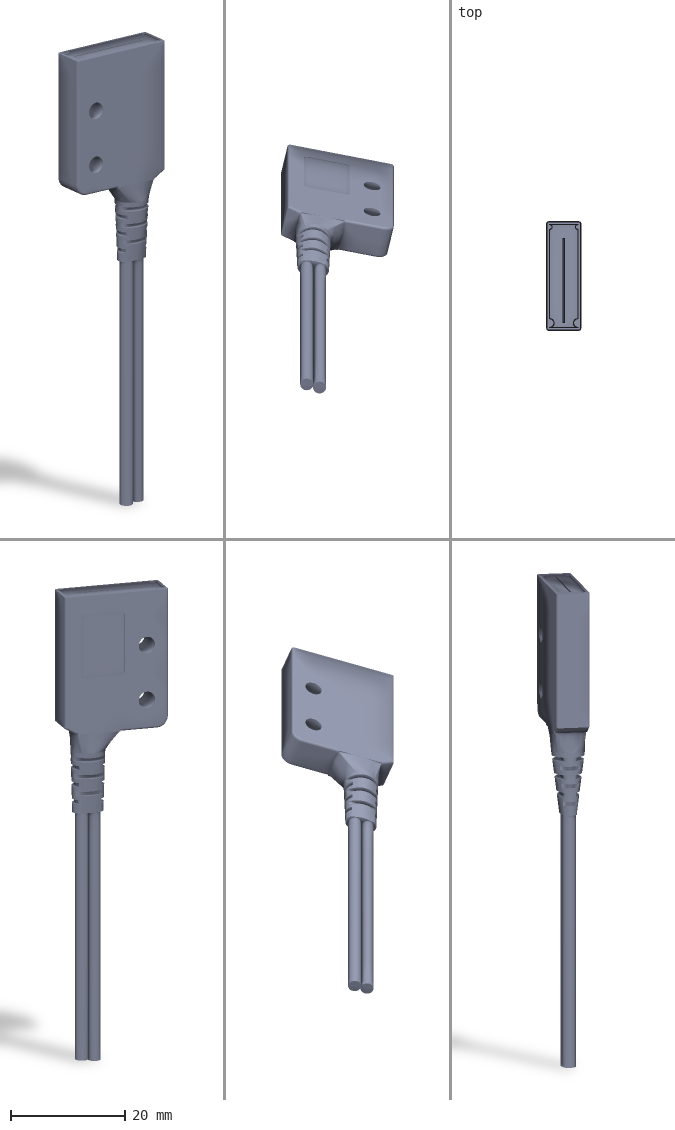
import cadquery as cq

TOTAL_HEIGHT = 85.35
HOUSING_X = 6.0
HOUSING_Y = 19.0
HOUSING_HEIGHT = 25.2
HOUSING_BOTTOM = TOTAL_HEIGHT - HOUSING_HEIGHT
CORNER_RADIUS = 2.05
CHAMFER_Y = 2.2
CHAMFER_Z = 1.3
EDGE_RADIUS = 0.4

HOLE_DIAMETER = 3.0
HOLE_Y = -5.55
UPPER_HOLE_Z = TOTAL_HEIGHT - 9.9
HOLE_PITCH = 10.0

LABEL_Y = 8.1
LABEL_Z = 11.6
LABEL_CENTRE_Y = 2.6
LABEL_TOP_GAP = 3.4
LABEL_RADIUS = 0.7
LABEL_DEPTH = 0.1

PANEL_RIM = 0.5
PANEL_X = HOUSING_X - 2 * PANEL_RIM
PANEL_Y = HOUSING_Y - 2 * PANEL_RIM
PANEL_DEPTH = 0.2
SMALL_LUG_RADIUS = 0.4
LARGE_LUG_RADIUS = 0.8
SLOT_WIDTH = 0.25
SLOT_LENGTH = 14.8
SLOT_CENTRE_Y = -0.8
SLOT_DEPTH = 0.85

RELIEF_Y = 4.35
NECK_TOP_Y = 8.4
SLEEVE_TOP_Y = 6.15
SLEEVE_TOP = 56.6
SLEEVE_BOTTOM = 45.3
SLEEVE_BOTTOM_X = 3.0
SLEEVE_BOTTOM_Y = 5.6
NECK_CORNER_X = 2.7
NECK_CORNER_Y = 3.9
SLEEVE_TOP_CORNER_X = 2.3
SLEEVE_TOP_CORNER_Y = 1.9
SLEEVE_BOTTOM_CORNER_X = 1.3
SLEEVE_BOTTOM_CORNER_Y = 1.45
GROOVE_HEIGHT = 0.8
GROOVE_PITCH = 3.2
FIRST_X_GROOVE_Z = 55.3
FIRST_Y_GROOVE_Z = FIRST_X_GROOVE_Z - GROOVE_PITCH / 2
GROOVES_PER_SIDE = 3
WEB_X = 2.4
WEB_Y = 4.3

LEAD_DIAMETER = 2.3
LEAD_END_STEP = 0.25


def crowned_section(z, size_x, size_y, centre_y, corner_x, corner_y):
    """Four-sided wire with bulging sides; sizes are over the crowns, corners are half spacings."""
    return (
        cq.Workplane("XY", origin=(0, centre_y, z))
        .moveTo(corner_x, -corner_y)
        .threePointArc((size_x / 2, 0), (corner_x, corner_y))
        .threePointArc((0, size_y / 2), (-corner_x, corner_y))
        .threePointArc((-size_x / 2, 0), (-corner_x, -corner_y))
        .threePointArc((0, -size_y / 2), (corner_x, -corner_y))
        .close()
        .wire()
        .val()
    )


def loft_between(lower, upper):
    return cq.Workplane(obj=cq.Solid.makeLoft([lower, upper], True))


def box_between(size_x, size_y, centre_y, bottom, height):
    return cq.Workplane("XY", origin=(0, centre_y, bottom)).rect(size_x, size_y).extrude(height)


def make_housing():
    half_y = HOUSING_Y / 2
    block = (
        cq.Workplane("YZ", origin=(-HOUSING_X / 2, 0, 0))
        .moveTo(-half_y, TOTAL_HEIGHT)
        .lineTo(half_y, TOTAL_HEIGHT)
        .lineTo(half_y, HOUSING_BOTTOM + CHAMFER_Z)
        .lineTo(half_y - CHAMFER_Y, HOUSING_BOTTOM)
        .lineTo(CORNER_RADIUS - half_y, HOUSING_BOTTOM)
        .radiusArc((-half_y, HOUSING_BOTTOM + CORNER_RADIUS), CORNER_RADIUS)
        .close()
        .extrude(HOUSING_X)
    )
    return block.faces("<X or >X").edges("not(>Z)").fillet(EDGE_RADIUS)


def mounting_holes():
    places = [(HOLE_Y, UPPER_HOLE_Z), (HOLE_Y, UPPER_HOLE_Z - HOLE_PITCH)]
    return (
        cq.Workplane("YZ", origin=(-HOUSING_X, 0, 0))
        .pushPoints(places)
        .circle(HOLE_DIAMETER / 2)
        .extrude(2 * HOUSING_X)
    )


def label_recess():
    centre_z = TOTAL_HEIGHT - LABEL_TOP_GAP - LABEL_Z / 2
    return (
        cq.Workplane("YZ", origin=(-HOUSING_X / 2, LABEL_CENTRE_Y, centre_z))
        .rect(LABEL_Y, LABEL_Z)
        .extrude(LABEL_DEPTH)
        .edges("|X")
        .fillet(LABEL_RADIUS)
    )


def top_recess():
    floor = TOTAL_HEIGHT - PANEL_DEPTH
    recess = box_between(PANEL_X, PANEL_Y, 0, floor, PANEL_DEPTH)
    for side in (-1, 1):
        lug_x = side * PANEL_X / 2
        lugs = [
            (PANEL_Y / 2 - SMALL_LUG_RADIUS, SMALL_LUG_RADIUS),
            (LARGE_LUG_RADIUS - PANEL_Y / 2, LARGE_LUG_RADIUS),
        ]
        for lug_y, radius in lugs:
            lug = cq.Workplane("XY", origin=(lug_x, lug_y, floor)).circle(radius).extrude(PANEL_DEPTH)
            recess = recess.cut(lug)
    slot = box_between(SLOT_WIDTH, SLOT_LENGTH, SLOT_CENTRE_Y, TOTAL_HEIGHT - SLOT_DEPTH, SLOT_DEPTH)
    return recess.union(slot)


def groove_slab(centre_z):
    return box_between(HOUSING_X, SLEEVE_TOP_Y, RELIEF_Y, centre_z - GROOVE_HEIGHT / 2, GROOVE_HEIGHT)


def side_groove(centre_z):
    slab = groove_slab(centre_z)
    web = (
        cq.Workplane("XY", origin=(0, RELIEF_Y, centre_z - GROOVE_HEIGHT / 2))
        .slot2D(SLEEVE_TOP_Y, WEB_X, 90)
        .extrude(GROOVE_HEIGHT)
    )
    return slab.cut(web)


def end_groove(centre_z):
    web = box_between(HOUSING_X, WEB_Y, RELIEF_Y, centre_z - GROOVE_HEIGHT / 2, GROOVE_HEIGHT)
    return groove_slab(centre_z).cut(web)


def make_relief():
    neck_y = RELIEF_Y + (SLEEVE_TOP_Y - NECK_TOP_Y) / 2
    neck_top = crowned_section(
        HOUSING_BOTTOM, HOUSING_X, NECK_TOP_Y, neck_y, NECK_CORNER_X, NECK_CORNER_Y
    )
    sleeve_top = crowned_section(
        SLEEVE_TOP, HOUSING_X, SLEEVE_TOP_Y, RELIEF_Y, SLEEVE_TOP_CORNER_X, SLEEVE_TOP_CORNER_Y
    )
    sleeve_bottom = crowned_section(
        SLEEVE_BOTTOM,
        SLEEVE_BOTTOM_X,
        SLEEVE_BOTTOM_Y,
        RELIEF_Y,
        SLEEVE_BOTTOM_CORNER_X,
        SLEEVE_BOTTOM_CORNER_Y,
    )
    neck = loft_between(sleeve_top, neck_top)
    sleeve = loft_between(sleeve_bottom, sleeve_top)
    root = box_between(HOUSING_X, 2 * NECK_CORNER_Y, neck_y, HOUSING_BOTTOM, EDGE_RADIUS)
    for number in range(GROOVES_PER_SIDE):
        drop = number * GROOVE_PITCH
        sleeve = sleeve.cut(side_groove(FIRST_X_GROOVE_Z - drop)).cut(end_groove(FIRST_Y_GROOVE_Z - drop))
    return neck.union(sleeve).union(root)


def make_lead(side):
    end = LEAD_END_STEP if side > 0 else 0
    centre_y = RELIEF_Y + side * LEAD_DIAMETER / 2
    return (
        cq.Workplane("XY", origin=(0, centre_y, end))
        .circle(LEAD_DIAMETER / 2)
        .extrude(SLEEVE_TOP - end)
    )


result = make_housing().union(make_relief())
for side in (-1, 1):
    result = result.union(make_lead(side))
result = result.cut(mounting_holes()).cut(label_recess()).cut(top_recess())